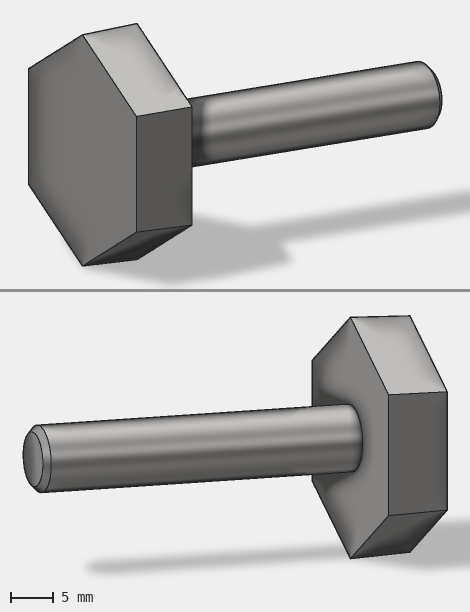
import cadquery as cq
import math

total_length = 47.5
head_thickness = 7.5
head_across_flats = 25.0
head_draft_angle = 2.0
shank_diameter = 8.0
tip_chamfer = 0.75

shank_length = total_length - head_thickness
head_across_corners = head_across_flats / math.cos(math.radians(30))


def make_head():
    """Hexagon with corners toward +Z and -Z, narrowing toward its -Y face."""
    return (
        cq.Workplane("XZ")
        .polygon(6, head_across_corners)
        .extrude(head_thickness, taper=head_draft_angle)
        .rotate((0, 0, 0), (0, 1, 0), 90)
    )


def make_shank():
    """Plain cylinder from the head toward +Y, chamfered at its free end."""
    return (
        cq.Workplane("XZ")
        .circle(shank_diameter / 2)
        .extrude(-shank_length)
        .faces(">Y")
        .chamfer(tip_chamfer)
    )


result = make_head().union(make_shank())